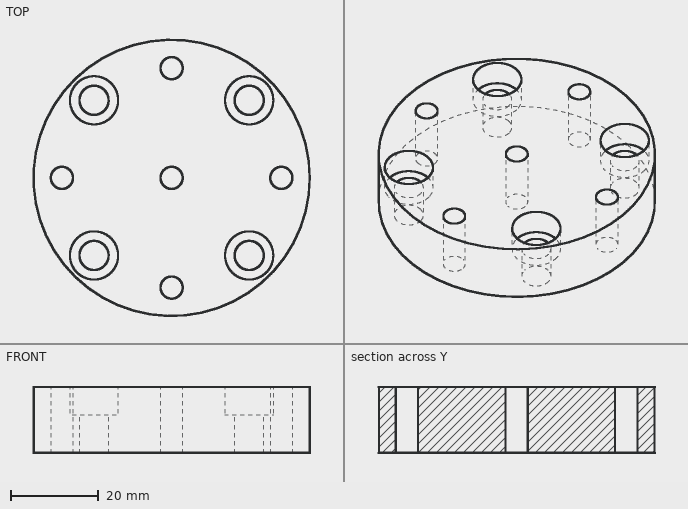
import cadquery as cq

disc_diameter = 63.0
disc_thickness = 15.0

pitch_radius = 25.0
holes_per_pattern = 4
hole_spacing_angle = 360.0 / holes_per_pattern

plain_hole_diameter = 5.0

screw_hole_diameter = 6.6
counterbore_diameter = 11.0
counterbore_depth = 6.4
screw_start_angle = hole_spacing_angle / 2


def make_disc():
    """Round plate standing on the XY plane."""
    return cq.Workplane("XY").circle(disc_diameter / 2).extrude(disc_thickness)


def on_pitch_circle(body, start_angle):
    """Select evenly spaced hole centres on the top face of the body."""
    return (
        body.faces(">Z")
        .workplane(origin=(0, 0, disc_thickness))
        .polarArray(pitch_radius, start_angle, 360, holes_per_pattern)
    )


def cut_plain_holes(body):
    """Drill the central hole and the ring of holes on the axes."""
    body = body.faces(">Z").workplane(origin=(0, 0, disc_thickness)).hole(plain_hole_diameter)
    return on_pitch_circle(body, 0).hole(plain_hole_diameter)


def cut_screw_holes(body):
    """Drill the diagonal screw holes, counterbored from the top face."""
    return on_pitch_circle(body, screw_start_angle).cboreHole(
        screw_hole_diameter, counterbore_diameter, counterbore_depth
    )


result = cut_screw_holes(cut_plain_holes(make_disc()))